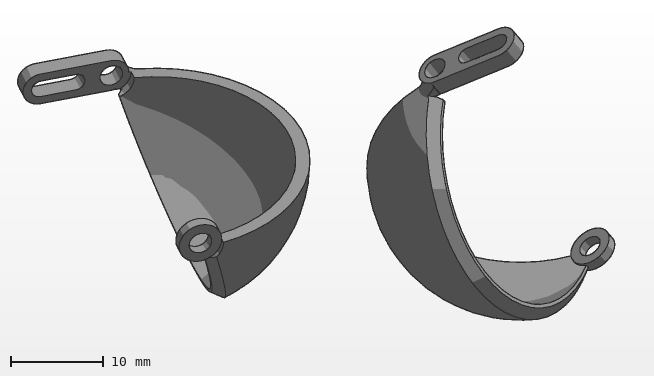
import cadquery as cq
import math

outer_radius = 16.55
inner_radius = 15.0
front_tilt = 15
rim_chamfer = 1.1

arm_outer_x = -17.95
arm_thickness = 2.0
arm_inner_x = arm_outer_x + arm_thickness
arm_radius = 2.0
arm_length = 7.95
arm_fillet = 1.5
arm_clearance_radius = 2.23

slot_radius = 1.03
slot_near_y = -4.0
pivot_hole_radius = 1.27

ring_radius = 2.4
ring_inner_x = 14.52
ring_thickness = 1.2
ring_outer_x = ring_inner_x + ring_thickness

reach = 2 * outer_radius


def pivot_cylinder(radius, x_start, x_end):
    """Cylinder along the pivot axis."""
    return cq.Workplane("YZ", origin=(x_start, 0, 0)).circle(radius).extrude(x_end - x_start)


def obround(radius, y_near, y_far, x_start, x_end):
    """Bar along Y with rounded ends centred on y_near and y_far."""
    length = abs(y_far - y_near) + 2 * radius
    middle = (y_near + y_far) / 2
    plane = cq.Workplane("YZ", origin=(x_start, middle, 0))
    return plane.slot2D(length, 2 * radius).extrude(x_end - x_start)


def pivot_sphere(radius):
    """Sphere about the origin with its poles on the pivot axis."""
    return cq.Workplane("XY").sphere(radius).rotate((0, 0, 0), (0, 1, 0), 90)


def arm_fillet_collar():
    """Concave collar, turned about the pivot, blending the arm into the sphere."""
    centre_r = arm_radius + arm_fillet
    centre_x = -math.sqrt((outer_radius + arm_fillet) ** 2 - centre_r ** 2)
    to_sphere = outer_radius / (outer_radius + arm_fillet)
    sphere_point = (centre_x * to_sphere, centre_r * to_sphere)
    arm_point = (centre_x, arm_radius)
    end_angle = math.atan2(-centre_r, -centre_x)
    middle_angle = (end_angle - math.pi / 2) / 2
    middle_point = (
        centre_x + arm_fillet * math.cos(middle_angle),
        centre_r + arm_fillet * math.sin(middle_angle),
    )
    return (
        cq.Workplane("XY")
        .moveTo(centre_x, 0)
        .lineTo(*arm_point)
        .threePointArc(middle_point, sphere_point)
        .lineTo(sphere_point[0], 0)
        .close()
        .revolve(360, (0, 0, 0), (1, 0, 0))
    )


def space_behind_rim(edge_radius):
    """Space behind the tilted front plane, flaring at 45 degrees from a circle on it."""
    return (
        cq.Workplane("XY")
        .lineTo(edge_radius, 0)
        .lineTo(edge_radius + reach, reach)
        .lineTo(0, reach)
        .close()
        .revolve(360, (0, 0, 0), (0, 1, 0))
        .rotate((0, 0, 0), (1, 0, 0), front_tilt)
    )


def rim_envelope():
    """Space kept for the bowl; on the arm side the chamfer stops level with the arm's underside."""
    shoulder_radius = math.sqrt(outer_radius ** 2 - rim_chamfer ** 2)
    below = cq.Workplane("XY").rect(2 * reach, 2 * reach).extrude(-reach)
    chamfered = space_behind_rim(shoulder_radius - rim_chamfer).intersect(below)
    arm_side = cq.Workplane("XY").center(-reach / 2, 0).rect(reach, 2 * reach).extrude(-arm_radius)
    plain = space_behind_rim(reach).intersect(arm_side)
    return chamfered.union(plain)


bowl = pivot_sphere(outer_radius).union(arm_fillet_collar())
bowl = bowl.cut(pivot_sphere(inner_radius)).intersect(rim_envelope())

bowl = bowl.cut(pivot_cylinder(arm_clearance_radius, arm_inner_x, 0))
bowl = bowl.cut(pivot_cylinder(ring_radius, ring_outer_x, outer_radius))

arm = obround(arm_radius, 0, -arm_length, arm_outer_x, arm_inner_x)
arm = arm.cut(obround(slot_radius, slot_near_y, -arm_length, arm_outer_x, arm_inner_x))
ring = pivot_cylinder(ring_radius, ring_inner_x, ring_outer_x)

result = bowl.union(arm).union(ring)
result = result.cut(pivot_cylinder(pivot_hole_radius, arm_outer_x, ring_outer_x))